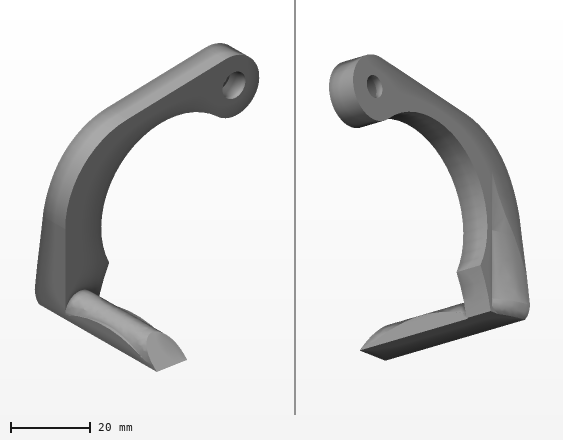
import cadquery as cq
import math


arm_thickness = 8.0
arm_reach = 63.49
arm_height = 56.38
boss_radius = 8.45
crown_radius = 9.4
crown_seam = math.radians(24.6)
boss_y = arm_reach - boss_radius
crown_shift = crown_radius - boss_radius
crown_y = boss_y - crown_shift * math.cos(crown_seam)
crown_z = arm_height - crown_radius
boss_z = crown_z + crown_shift * math.sin(crown_seam)
back_radius = 24.8
back_y = back_radius
back_z = 25.8
throat_y = 35.38
throat_z = 22.05
toe_y = 14.4
heel_y = 10.5
heel_bow = 0.4

hole_y = 55.2
hole_z = 47.8
hole_diameter = 6.0
counterbore_diameter = 7.5
counterbore_depth = 6.0

blade_length = 36.03
blade_width = 9.95
blade_height = 6.5
blade_edge_height = 1.25
blade_top_length = 28.4
rib_height = 4.5
rib_middle = 17.2
rib_reach = 14.0

flare_depth = 12.0 - arm_thickness
flare_top_z = 37.6
flare_bend_z = 21.8
flare_bend_depth = 1.65
flare_foot_z = 3.6
flare_corner_z = 1.4
flare_corner_depth = 3.5
flare_bottom_depth = 2.3
flare_bottom_width = 7.5
flare_fullness = 0.68
flare_trim_bend_depth = 1.4
flare_trim_z = 11.3
flare_trim_depth = 3.0
flare_root = 2.0
flare_least_depth = 0.05


def polar(center, radius, angle):
    """Point on a circle at the given angle in radians."""
    return center[0] + radius * math.cos(angle), center[1] + radius * math.sin(angle)


def arm_outline():
    """Side outline of the arm: boss, straight top, rounded back, heel and round throat."""
    boss = (boss_y, boss_z)
    crown = (crown_y, crown_z)
    back = (back_y, back_z)
    throat = (throat_y, throat_z)

    back_to_crown = math.atan2(crown_z - back_z, crown_y - back_y)
    back_distance = math.hypot(crown_y - back_y, crown_z - back_z)
    top_normal = back_to_crown + math.acos((back_radius - crown_radius) / back_distance)
    back_middle = (top_normal + math.pi) / 2
    crown_middle = (top_normal + crown_seam) / 2

    throat_to_boss = math.atan2(boss_z - throat_z, boss_y - throat_y)
    throat_radius = math.hypot(boss_y - throat_y, boss_z - throat_z) - boss_radius
    toe_angle = math.pi + math.acos((throat_y - toe_y) / throat_radius)
    toe_z = polar(throat, throat_radius, toe_angle)[1]
    throat_middle = (throat_to_boss + toe_angle) / 2

    heel_chord = math.hypot(toe_y - heel_y, toe_z)
    heel_middle = (
        (toe_y + heel_y) / 2 - heel_bow * toe_z / heel_chord,
        toe_z / 2 + heel_bow * (toe_y - heel_y) / heel_chord,
    )

    return (
        cq.Workplane("YZ")
        .moveTo(0, 0)
        .lineTo(0, back_z)
        .threePointArc(polar(back, back_radius, back_middle), polar(back, back_radius, top_normal))
        .lineTo(*polar(crown, crown_radius, top_normal))
        .threePointArc(
            polar(crown, crown_radius, crown_middle),
            polar(crown, crown_radius, crown_seam),
        )
        .threePointArc((arm_reach, boss_z), polar(throat, throat_radius, throat_to_boss))
        .threePointArc(
            polar(throat, throat_radius, throat_middle),
            polar(throat, throat_radius, toe_angle),
        )
        .threePointArc(heel_middle, (heel_y, 0))
        .close()
    )


def make_stepped_hole():
    """Through hole in the boss, opened out from the inner face."""
    center = cq.Workplane("YZ").center(hole_y, hole_z)
    through = center.circle(hole_diameter / 2).extrude(-arm_thickness)
    counterbore = center.circle(counterbore_diameter / 2).extrude(-counterbore_depth)
    return through.union(counterbore)


def flare_section(z, depth, width=blade_width):
    """Level section of the flare: a bulge deepest at Y = 0 that fades out at the given width."""
    deepest_x = -arm_thickness - depth
    middle = (-arm_thickness - flare_fullness * depth, width / 2)
    root_x = -arm_thickness + flare_root
    return (
        cq.Workplane("XY", origin=(0, 0, z))
        .moveTo(root_x, 0)
        .lineTo(deepest_x, 0)
        .threePointArc(middle, (-arm_thickness, width))
        .lineTo(root_x, width)
        .close()
        .wire()
        .val()
    )


def make_flare_bulge():
    """Bulge that tapers upward in two stages and is rounded off at the bottom."""
    top = flare_section(flare_top_z, flare_least_depth)
    bend = flare_section(flare_bend_z, flare_bend_depth)
    foot = flare_section(flare_foot_z, flare_depth)
    corner = flare_section(flare_corner_z, flare_corner_depth)
    bottom = flare_section(0, flare_bottom_depth, flare_bottom_width)
    upper = cq.Workplane(obj=cq.Solid.makeLoft([bend, top], True))
    lower = cq.Workplane(obj=cq.Solid.makeLoft([foot, bend], True))
    rounded = cq.Workplane(obj=cq.Solid.makeLoft([bottom, corner, foot], False))
    return upper.union(lower).union(rounded)


def make_flare():
    """Bulge trimmed by a straight-ruled face along Y and by the side outline of the arm."""
    root_x = -arm_thickness + flare_root
    bend_x = -arm_thickness - flare_trim_bend_depth
    trim_run = flare_trim_depth - flare_trim_bend_depth
    trim_rise = flare_bend_z - flare_trim_z
    bottom_x = bend_x - flare_bend_z * trim_run / trim_rise
    trim = (
        cq.Workplane("XZ")
        .moveTo(root_x, 0)
        .lineTo(bottom_x, 0)
        .lineTo(bend_x, flare_bend_z)
        .spline(
            [(-arm_thickness, flare_top_z)],
            tangents=[(trim_run, trim_rise), (0, 1)],
            includeCurrent=True,
        )
        .lineTo(root_x, flare_top_z)
        .close()
        .extrude(-blade_width)
    )
    side = arm_outline().extrude(-arm_thickness - flare_depth)
    return make_flare_bulge().intersect(trim).intersect(side)


def make_blade():
    """Round-topped bar with an arched rib across it and a sloping end."""
    bar = (
        cq.Workplane("YZ")
        .moveTo(0, blade_edge_height)
        .lineTo(0, 0)
        .lineTo(blade_width, 0)
        .lineTo(blade_width, blade_edge_height)
        .ellipseArc(blade_width / 2, blade_height - blade_edge_height, 0, 180, startAtCurrent=True)
        .close()
        .extrude(blade_length)
    )
    rib = (
        cq.Workplane("XZ")
        .lineTo(0, blade_edge_height)
        .spline(
            [(rib_middle, rib_height), (rib_middle + rib_reach, blade_edge_height)],
            includeCurrent=True,
        )
        .lineTo(rib_middle + rib_reach, 0)
        .close()
        .extrude(-blade_width)
    )
    end_trim = (
        cq.Workplane("XZ")
        .lineTo(blade_length, 0)
        .lineTo(blade_top_length, blade_height)
        .lineTo(0, blade_height)
        .close()
        .extrude(-blade_width)
    )
    return bar.union(rib).intersect(end_trim)


arm = arm_outline().extrude(-arm_thickness)
result = arm.union(make_flare()).union(make_blade()).cut(make_stepped_hole())